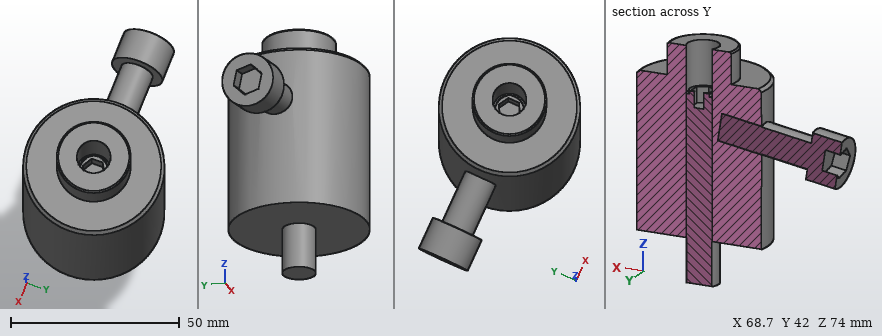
import cadquery as cq
import math

HEX_SIDES = 6

BODY_DIAMETER = 42.0
BODY_HEIGHT = 50.0
BODY_CHAMFER = 1.0
BOSS_DIAMETER = 22.0
BOSS_HEIGHT = 10.0
BOSS_CHAMFER = 0.5
HOUSING_HEIGHT = BODY_HEIGHT + BOSS_HEIGHT

SET_SCREW_DIAMETER = 10.0
SET_SCREW_LENGTH = 60.0
SET_SCREW_PROTRUSION = 14.0
SET_SCREW_NECK_DIAMETER = 8.5
SET_SCREW_NECK_LENGTH = 1.0
SET_SCREW_KEY = 6.0
SET_SCREW_SOCKET_DEPTH = 5.0

SIDE_SCREW_DIAMETER = 10.0
SIDE_SCREW_LENGTH = 30.0
SIDE_SCREW_TILT = 9.0
HEAD_DIAMETER = 16.0
HEAD_HEIGHT = 10.0
HEAD_KEY = 8.0
HEAD_SOCKET_DEPTH = 5.0
HEAD_SOCKET_TURN = -15.0
HEAD_FACE_X = -46.47
HEAD_FACE_Z = 29.87


def hexagon_diameter(across_flats):
    """Diameter of the circle through the corners of a hexagon."""
    return across_flats / math.cos(math.pi / HEX_SIDES)


def side_screw_plane():
    """Plane on the head's outer face: normal along the screw, local Y pointing up."""
    tilt = math.radians(SIDE_SCREW_TILT)
    return cq.Plane(
        origin=(HEAD_FACE_X, 0, HEAD_FACE_Z),
        xDir=(0, 1, 0),
        normal=(math.cos(tilt), 0, math.sin(tilt)),
    )


def side_screw_shank():
    return (
        cq.Workplane(side_screw_plane())
        .workplane(offset=HEAD_HEIGHT)
        .circle(SIDE_SCREW_DIAMETER / 2)
        .extrude(SIDE_SCREW_LENGTH)
    )


def make_housing():
    body = (
        cq.Workplane("XY")
        .circle(BODY_DIAMETER / 2)
        .extrude(BODY_HEIGHT)
        .faces(">Z")
        .chamfer(BODY_CHAMFER)
    )
    boss = (
        cq.Workplane("XY")
        .workplane(offset=BODY_HEIGHT)
        .circle(BOSS_DIAMETER / 2)
        .extrude(BOSS_HEIGHT)
        .faces(">Z")
        .chamfer(BOSS_CHAMFER)
    )
    bore = cq.Workplane("XY").circle(SET_SCREW_DIAMETER / 2).extrude(HOUSING_HEIGHT)
    return body.union(boss).cut(bore).cut(side_screw_shank())


def make_set_screw():
    stem = (
        cq.Workplane("XY")
        .workplane(offset=-SET_SCREW_PROTRUSION)
        .circle(SET_SCREW_DIAMETER / 2)
        .extrude(SET_SCREW_LENGTH - SET_SCREW_NECK_LENGTH)
    )
    neck = (
        stem.faces(">Z")
        .workplane()
        .circle(SET_SCREW_NECK_DIAMETER / 2)
        .extrude(SET_SCREW_NECK_LENGTH)
    )
    return (
        neck.faces(">Z")
        .workplane()
        .transformed(rotate=(0, 0, 90))
        .polygon(HEX_SIDES, hexagon_diameter(SET_SCREW_KEY))
        .cutBlind(-SET_SCREW_SOCKET_DEPTH)
    )


def make_side_screw():
    head = cq.Workplane(side_screw_plane()).circle(HEAD_DIAMETER / 2).extrude(HEAD_HEIGHT)
    socket = (
        cq.Workplane(side_screw_plane())
        .transformed(rotate=(0, 0, HEAD_SOCKET_TURN))
        .polygon(HEX_SIDES, hexagon_diameter(HEAD_KEY))
        .extrude(HEAD_SOCKET_DEPTH)
    )
    return head.cut(socket).union(side_screw_shank())


housing = make_housing()
set_screw = make_set_screw()
side_screw = make_side_screw()

result = cq.Compound.makeCompound([housing.val(), set_screw.val(), side_screw.val()])